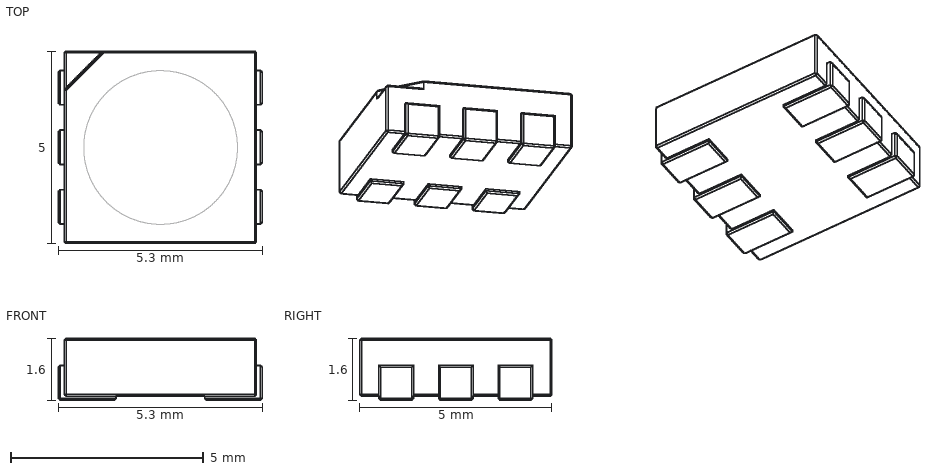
import cadquery as cq

overall_length = 5.3
body_side = 5.0
overall_height = 1.6
standoff = 0.1
edge_chamfer = 0.05

lead_length = 1.5
lead_width = 0.9
lead_height = 0.9
lead_end_margin = 0.5
leads_per_side = 3
lead_pitch = (body_side - 2 * lead_end_margin - lead_width) / (leads_per_side - 1)
lead_center_x = (overall_length - lead_length) / 2

notch_leg = 1.0
notch_depth = 0.2

window_diameter = 4.0
window_depth = 0.1

bottom_centered = (True, True, False)


def make_body():
    """Square housing with a notched corner and chamfered outer edges."""
    body_height = overall_height - standoff
    half_side = body_side / 2
    ledge_z = overall_height - notch_depth

    block = (
        cq.Workplane("XY", origin=(0, 0, standoff))
        .box(body_side, body_side, body_height, centered=bottom_centered)
    )
    notch = (
        cq.Workplane("XY", origin=(-half_side, half_side, ledge_z))
        .polyline([(0, 0), (notch_leg, 0), (0, -notch_leg)])
        .close()
        .extrude(notch_depth)
    )
    body = block.cut(notch)

    top_and_bottom_edges = body.faces("<Z or >Z").edges()
    corner_edges = body.edges("|Z").filter(lambda edge: edge.Length() > 2 * notch_depth)
    ledge_edges = body.faces(">Z[-2]").edges("|X or |Y")
    return top_and_bottom_edges.add(corner_edges).add(ledge_edges).chamfer(edge_chamfer)


def make_lead(side, center_y):
    """Contact block with chamfers around its underside and its outer end face."""
    outer_end = ">X" if side > 0 else "<X"
    return (
        cq.Workplane("XY", origin=(side * lead_center_x, center_y, 0))
        .box(lead_length, lead_width, lead_height, centered=bottom_centered)
        .faces("<Z or " + outer_end)
        .edges()
        .chamfer(edge_chamfer)
    )


def make_window():
    """Disc that fills the round window up to the top face."""
    return (
        cq.Workplane("XY", origin=(0, 0, overall_height - window_depth))
        .circle(window_diameter / 2)
        .extrude(window_depth)
    )


result = make_body()
for side in (-1, 1):
    for index in range(leads_per_side):
        center_y = (index - (leads_per_side - 1) / 2) * lead_pitch
        result = result.union(make_lead(side, center_y))

result = result.union(make_window(), clean=False)